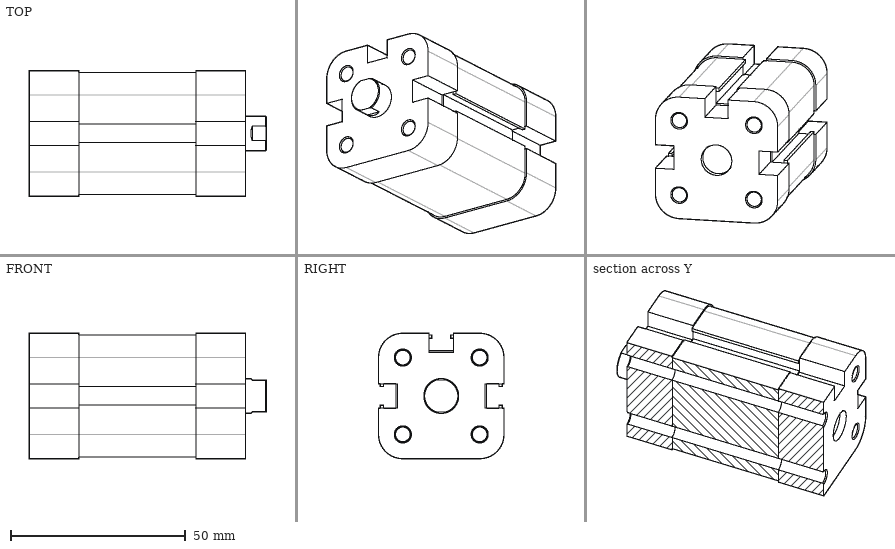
import cadquery as cq


body_length = 62.0
cap_length = 14.25
barrel_length = body_length - 2 * cap_length
front_cap_start = body_length - cap_length
rod_reach = 6.0
rod_tip = body_length + rod_reach

cap_width = 36.0
barrel_width = 35.0
hole_offset = 11.0
cap_corner_radius = cap_width / 2 - hole_offset
barrel_corner_radius = barrel_width / 2 - hole_offset

bolt_hole_diameter = 4.2
bolt_chamfer = 0.35

slot_width = 6.9
cap_slot_floor = 12.5
barrel_slot_floor = 13.0
lip_thickness = 1.0
lip_gap = 5.3
slot_angles = (-90, 0, 90)

recess_diameter = 9.0
recess_depth = 2.0

rod_diameter = 10.0
rod_chamfer = 0.25
flat_distance = 9.1
flat_length = 4.5
flat_depth = (rod_diameter - flat_distance) / 2


def square_bar(start, length, width, corner_radius):
    bar = cq.Workplane("YZ", origin=(start, 0, 0)).rect(width, width).extrude(length)
    return bar.edges("|X").fillet(corner_radius)


def round_bar(start, length, diameter):
    return cq.Workplane("YZ", origin=(start, 0, 0)).circle(diameter / 2).extrude(length)


def cut_slots(body, start, length, width, floor, top):
    """Cut a straight groove between two heights into the top and both sides."""
    groove = (
        cq.Workplane("YZ", origin=(start, 0, 0))
        .center(0, (floor + top) / 2)
        .rect(width, top - floor)
        .extrude(length)
    )
    for angle in slot_angles:
        body = body.cut(groove.rotate((0, 0, 0), (1, 0, 0), angle))
    return body


def cut_bolt_holes(body, start, length):
    spacing = 2 * hole_offset
    holes = (
        cq.Workplane("YZ", origin=(start, 0, 0))
        .rect(spacing, spacing, forConstruction=True)
        .vertices()
        .circle(bolt_hole_diameter / 2)
        .extrude(length)
    )
    return body.cut(holes)


def make_cap(start, outer_face):
    """End cap with slots and bolt holes, chamfered where the bolts enter."""
    cap = square_bar(start, cap_length, cap_width, cap_corner_radius)
    cap = cut_bolt_holes(cap, start, cap_length)
    cap = cap.faces(outer_face).edges("%CIRCLE").edges(
        cq.selectors.RadiusNthSelector(0)
    ).chamfer(bolt_chamfer)
    return cut_slots(cap, start, cap_length, slot_width, cap_slot_floor, cap_width / 2)


def make_rear_cap():
    return make_cap(0, "<X").cut(round_bar(0, recess_depth, recess_diameter))


def make_front_cap():
    return make_cap(front_cap_start, ">X").cut(round_bar(front_cap_start, cap_length, rod_diameter))


def make_barrel():
    """Extruded profile whose slots narrow to a gap between two lips."""
    barrel_top = barrel_width / 2
    lip_underside = barrel_top - lip_thickness
    barrel = square_bar(cap_length, barrel_length, barrel_width, barrel_corner_radius)
    barrel = cut_slots(barrel, cap_length, barrel_length, slot_width, barrel_slot_floor, lip_underside)
    barrel = cut_slots(barrel, cap_length, barrel_length, lip_gap, barrel_slot_floor, barrel_top)
    return cut_bolt_holes(barrel, cap_length, barrel_length)


def make_rod():
    """Rod through the front cap with two wrench flats that run out at 45 degrees."""
    rod = round_bar(front_cap_start, rod_tip - front_cap_start, rod_diameter)
    rod = rod.faces(">X").chamfer(rod_chamfer)
    flat_start = rod_tip - flat_length
    flat_cutter = (
        cq.Workplane("XZ")
        .moveTo(flat_start + flat_depth, flat_distance / 2)
        .lineTo(rod_tip, flat_distance / 2)
        .lineTo(rod_tip, rod_diameter / 2)
        .lineTo(flat_start, rod_diameter / 2)
        .close()
        .extrude(rod_diameter / 2, both=True)
    )
    return rod.cut(flat_cutter).cut(flat_cutter.mirror("XY"))


rear_cap = make_rear_cap()
barrel = make_barrel()
front_cap = make_front_cap()
rod = make_rod()

result = cq.Compound.makeCompound([rear_cap.val(), barrel.val(), front_cap.val(), rod.val()])